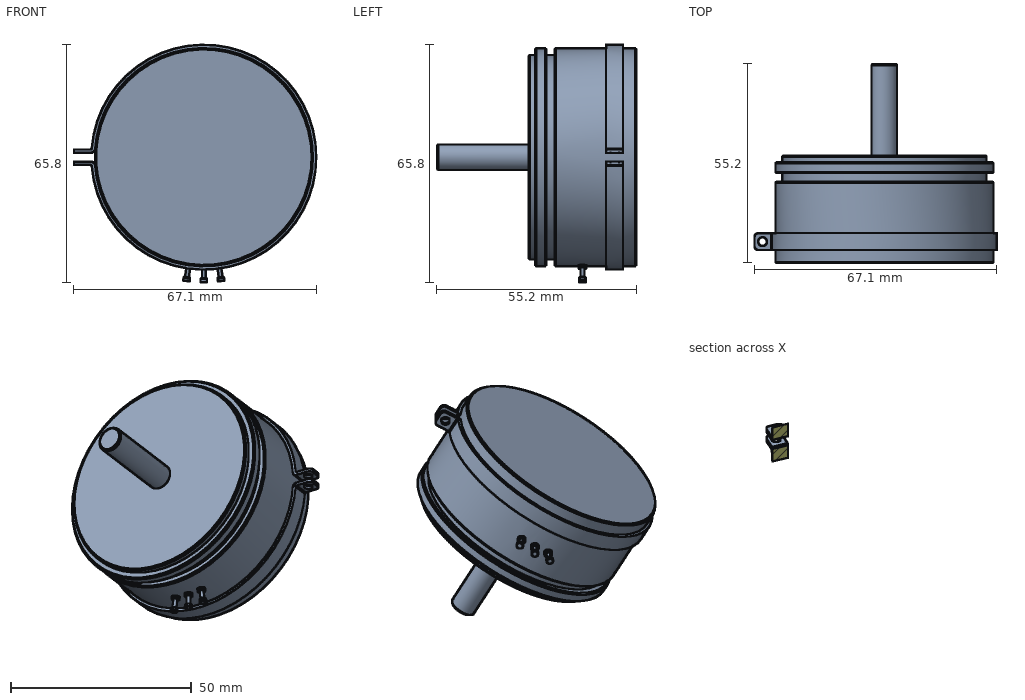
import cadquery as cq
import math


housing_radius = 30.2
neck_radius = 28.3
shaft_radius = 3.55
body_front = 22.6
flange_rear = 24.9
flange_front = 28.0
nose_front = 29.8
shaft_end = 55.2
edge_chamfer = 0.4

band_rear = 3.6
band_width = 4.7
band_radius = 31.15
ear_tip = 36.0
ear_inner = 1.2
ear_thickness = 0.95
inner_bend_length = 0.8
inner_bend_rise = 0.6
outer_bend_chamfer = 0.3
ear_corner_radius = 1.15
ear_hole_diameter = 2.35
ear_hole_inset = 2.3

terminal_y = 14.9
terminal_spacing = 8.0
collar_radius = 1.11
collar_base = 29.2
collar_end = 30.9
collar_chamfer = 0.2
stem_radius = 0.57
head_radius = 0.95
head_base = 33.5
terminal_end = 34.65
head_base_chamfer = 0.3
head_end_chamfer = 0.15

band_front = band_rear + band_width
terminal_angles = [-terminal_spacing, 0, terminal_spacing]


def disc(radius, start, end):
    """Cylinder on the main axis between two Y positions."""
    return cq.Workplane("XZ", origin=(0, start, 0)).circle(radius).extrude(start - end)


def make_turned_body():
    """Drum, grooved neck, flange and shaft, with chamfered rims."""
    drum = disc(housing_radius, 0, body_front).edges().chamfer(edge_chamfer)
    neck = disc(neck_radius, body_front - edge_chamfer, nose_front).faces(">Y").chamfer(edge_chamfer)
    flange = disc(housing_radius, flange_rear, flange_front).edges().chamfer(edge_chamfer)
    shaft = disc(shaft_radius, body_front, shaft_end).faces(">Y").chamfer(edge_chamfer)
    return drum.union(neck).union(flange).union(shaft)


def make_clamp_band():
    """Open band around the drum whose two ends bend outward into drilled ears."""
    ear_outer = ear_inner + ear_thickness
    outer_slant_z = ear_outer + outer_bend_chamfer
    outer_corner_x = -math.sqrt(band_radius**2 - outer_slant_z**2)
    outer_bend_x = outer_corner_x - outer_bend_chamfer
    inner_slant_z = ear_inner + inner_bend_rise
    inner_corner_x = -math.sqrt(housing_radius**2 - inner_slant_z**2)
    inner_bend_x = inner_corner_x - inner_bend_length

    band = (
        cq.Workplane("XZ", origin=(0, band_rear, 0))
        .moveTo(-ear_tip, ear_outer)
        .lineTo(outer_bend_x, ear_outer)
        .lineTo(outer_corner_x, outer_slant_z)
        .threePointArc((band_radius, 0), (outer_corner_x, -outer_slant_z))
        .lineTo(outer_bend_x, -ear_outer)
        .lineTo(-ear_tip, -ear_outer)
        .lineTo(-ear_tip, -ear_inner)
        .lineTo(inner_bend_x, -ear_inner)
        .lineTo(inner_corner_x, -inner_slant_z)
        .threePointArc((housing_radius, 0), (inner_corner_x, inner_slant_z))
        .lineTo(inner_bend_x, ear_inner)
        .lineTo(-ear_tip, ear_inner)
        .close()
        .extrude(-band_width)
    )
    band = band.faces("<X").edges("|Z").fillet(ear_corner_radius)

    hole_center = (ear_hole_inset - ear_tip, (band_rear + band_front) / 2, -ear_outer)
    holes = cq.Workplane("XY", origin=hole_center).circle(ear_hole_diameter / 2).extrude(2 * ear_outer)
    return band.cut(holes)


def place_terminal_shape(shape, angle):
    """Swing a shape on the -Z side around the main axis."""
    return shape.rotate((0, 0, 0), (0, 1, 0), angle)


def make_socket(angle):
    """Cutter for the recess that holds a terminal collar."""
    socket = (
        cq.Workplane("XY", origin=(0, terminal_y, -collar_base))
        .circle(collar_radius)
        .extrude(collar_base - collar_end)
    )
    return place_terminal_shape(socket, angle)


def make_housing():
    """Turned body and clamp band in one piece, with a socket for each terminal."""
    housing = make_turned_body().union(make_clamp_band())
    for angle in terminal_angles:
        housing = housing.cut(make_socket(angle))
    return housing


def make_terminal(angle):
    """Turned terminal: collar in the housing, thin stem and chamfered head."""
    terminal = (
        cq.Workplane("XZ", origin=(0, terminal_y, 0))
        .moveTo(0, -collar_base)
        .lineTo(collar_radius, -collar_base)
        .lineTo(collar_radius, collar_chamfer - collar_end)
        .lineTo(collar_radius - collar_chamfer, -collar_end)
        .lineTo(stem_radius, -collar_end)
        .lineTo(stem_radius, -head_base)
        .lineTo(head_radius - head_base_chamfer, -head_base)
        .lineTo(head_radius, -head_base - head_base_chamfer)
        .lineTo(head_radius, head_end_chamfer - terminal_end)
        .lineTo(head_radius - head_end_chamfer, -terminal_end)
        .lineTo(0, -terminal_end)
        .close()
        .revolve(360, (0, 0, 0), (0, 1, 0))
    )
    return place_terminal_shape(terminal, angle)


housing = make_housing()
terminals = [make_terminal(angle) for angle in terminal_angles]

result = cq.Compound.makeCompound([housing.val(), *[terminal.val() for terminal in terminals]])